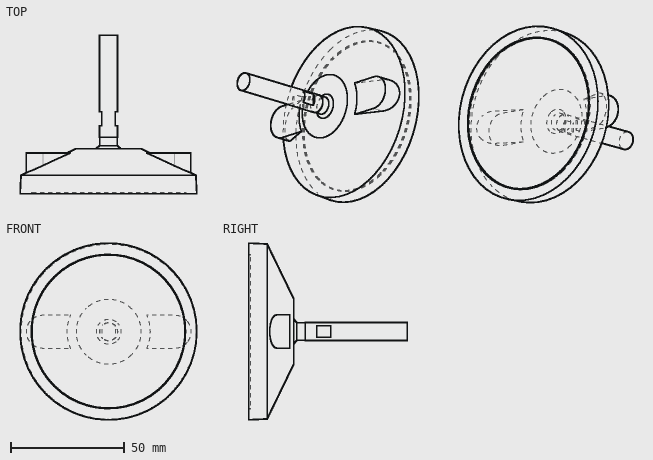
import cadquery as cq

base_diameter = 78.0
rim_back_diameter = 77.2
rim_thickness = 8.2
plateau_diameter = 28.6
foot_height = 20.0

groove_outer_diameter = 68.0
groove_inner_diameter = 67.5
groove_depth = 0.8

lug_width = 14.6
lug_center_offset = 29.0
lug_top = 18.0

neck_base_diameter = 10.9
collar_diameter = 7.8
collar_start = 21.3
collar_end = 25.0
stem_diameter = 8.0
stem_end = 70.0
flat_start = 30.0
flat_end = 36.1
width_across_flats = 6.1


def cylinder(diameter, start, end):
    """Solid cylinder on the Y axis between two Y positions."""
    return cq.Workplane("XZ", origin=(0, start, 0)).circle(diameter / 2).extrude(start - end)


def make_foot():
    """Tapered rim with a cone rising to a flat plateau."""
    profile = [
        (0, 0),
        (base_diameter / 2, 0),
        (rim_back_diameter / 2, rim_thickness),
        (plateau_diameter / 2, foot_height),
        (0, foot_height),
    ]
    return cq.Workplane("XY").polyline(profile).close().revolve(360, (0, 0, 0), (0, 1, 0))


def make_lugs():
    """Round-ended bar through the cone whose two ends form the lugs."""
    bar_length = 2 * lug_center_offset + lug_width
    return (
        cq.Workplane("XZ", origin=(0, rim_thickness, 0))
        .slot2D(bar_length, lug_width)
        .extrude(rim_thickness - lug_top)
    )


def make_neck():
    """Short cone joining the plateau to the collar."""
    profile = [
        (0, foot_height),
        (neck_base_diameter / 2, foot_height),
        (collar_diameter / 2, collar_start),
        (0, collar_start),
    ]
    return cq.Workplane("XY").polyline(profile).close().revolve(360, (0, 0, 0), (0, 1, 0))


def make_stem():
    """Collar and stem with two opposite wrench flats facing X."""
    stem = cylinder(stem_diameter, collar_end, stem_end)
    flat_length = flat_end - flat_start
    flat_center = (flat_start + flat_end) / 2
    for side in (-1, 1):
        cutter_offset = side * (width_across_flats + stem_diameter) / 2
        cutter = cq.Workplane("XY").box(stem_diameter, flat_length, stem_diameter)
        stem = stem.cut(cutter.translate((cutter_offset, flat_center, 0)))
    return stem.union(cylinder(collar_diameter, collar_start, collar_end))


groove = cylinder(groove_outer_diameter, 0, groove_depth).cut(
    cylinder(groove_inner_diameter, 0, groove_depth)
)
result = make_foot().union(make_lugs()).union(make_neck()).union(make_stem()).cut(groove)